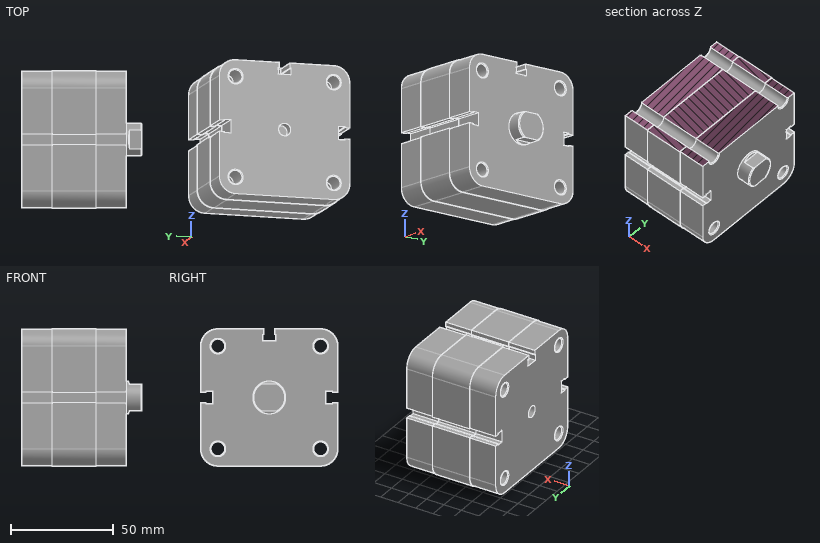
import cadquery as cq


cap_length = 14.8
tube_length = 21.4
rod_projection = 7.5
front_cap_start = cap_length + tube_length
front_face = front_cap_start + cap_length

tube_side = 67.0
cap_inset = 0.25
bolt_offset = 25.0
bolt_points = [(y, z) for y in (-bolt_offset, bolt_offset) for z in (-bolt_offset, bolt_offset)]

slot_neck_width = 5.0
slot_base_width = 6.0
slot_lip_depth = 2.8
slot_depth = 5.8
slot_angles = (-90, 0, 90)

bolt_hole_diameter = 6.7
bolt_hole_chamfer = 0.5
center_hole_diameter = 6.15
center_hole_depth = center_hole_diameter

rod_diameter = 16.0
rod_chamfer = 0.5
flat_distance = 13.05
flat_start = 1.5
shoulder_slant = 0.5


def section_plane(x):
    """Plane across the X axis with local x along +Y and local y along +Z."""
    return cq.Workplane("YZ", origin=(x, 0, 0))


def slot_cutter(start, length, inset):
    """T-slot in the +Z side, with its side walls and floor moved into the body by the inset."""
    half_neck = slot_neck_width / 2 + inset
    half_base = slot_base_width / 2 + inset
    top = tube_side / 2
    lip = top - slot_lip_depth
    floor = top - slot_depth - inset
    right_side = [(half_neck, top), (half_neck, lip), (half_base, lip), (half_base, floor)]
    left_side = [(-y, z) for y, z in reversed(right_side)]
    return section_plane(start).polyline(right_side + left_side).close().extrude(length)


def make_block(start, length, inset):
    """Length of the slotted square section with its four tie bolt holes."""
    side = tube_side - 2 * inset
    corner_radius = side / 2 - bolt_offset
    block = section_plane(start).rect(side, side).extrude(length).edges("|X").fillet(corner_radius)
    cutter = slot_cutter(start, length, inset)
    for angle in slot_angles:
        block = block.cut(cutter.rotate((0, 0, 0), (1, 0, 0), angle))
    holes = section_plane(start).pushPoints(bolt_points).circle(bolt_hole_diameter / 2).extrude(length)
    return block.cut(holes)


def make_cap(start, outer_face, inward):
    """End cap whose tie bolt holes are chamfered at its outer face; inward is +1 or -1 along X."""
    cap = make_block(start, cap_length, cap_inset)
    mouth_radius = bolt_hole_diameter / 2 + bolt_hole_chamfer
    for y, z in bolt_points:
        countersink = cq.Solid.makeCone(
            mouth_radius,
            bolt_hole_diameter / 2,
            bolt_hole_chamfer,
            pnt=cq.Vector(outer_face, y, z),
            dir=cq.Vector(inward, 0, 0),
        )
        cap = cap.cut(cq.Workplane(countersink))
    return cap


def make_rear_cap():
    """Rear cap with a blind hole in the middle of its outer face."""
    center_hole = section_plane(0).circle(center_hole_diameter / 2).extrude(center_hole_depth)
    return make_cap(0, 0, 1).cut(center_hole)


def make_rod():
    """Round rod end standing on the front face, with two flats that run to its tip."""
    radius = rod_diameter / 2
    flat_height = flat_distance / 2
    foot = front_face + flat_start
    tip = front_face + rod_projection
    rod = section_plane(front_face).circle(radius).extrude(rod_projection).faces(">X").chamfer(rod_chamfer)
    flat_outline = [
        (foot, flat_height),
        (foot - shoulder_slant, radius),
        (tip, radius),
        (tip, flat_height),
    ]
    cutter = cq.Workplane("XZ").polyline(flat_outline).close().extrude(radius, both=True)
    return rod.cut(cutter).cut(cutter.mirror("XY"))


rear_cap = make_rear_cap()
tube = make_block(cap_length, tube_length, 0)
front_cap = make_cap(front_cap_start, front_face, -1)
rod = make_rod()

result = cq.Compound.makeCompound([rear_cap.val(), tube.val(), front_cap.val(), rod.val()])